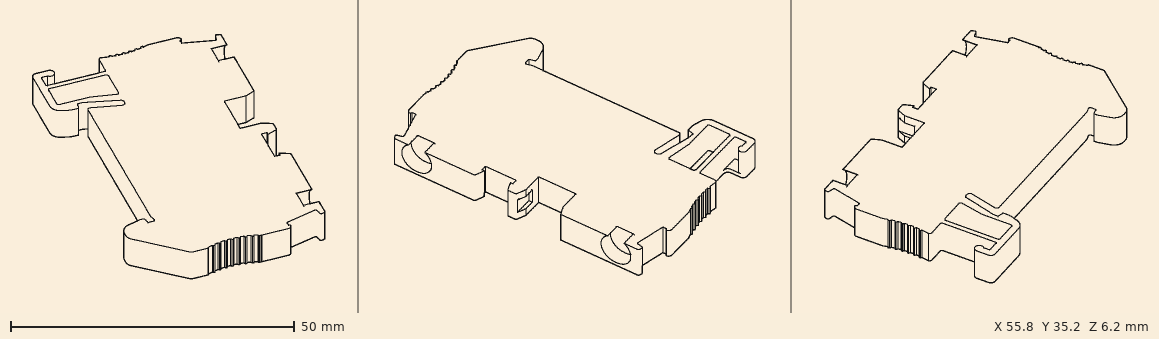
import cadquery as cq
import math

LENGTH = 55.8
HEIGHT = 35.2
THICKNESS = 6.2
SMALL_ROUND = 0.35

RAIL_FACE_Y = 5.95
LEDGE_Y = 12.65
SLOT_TOP_Y = 12.7
SHOULDER_Y = 27.9
SHOULDER_BUMP = 0.35

DEEP_NOTCH_X = 19.2
DEEP_NOTCH_FLOOR = 29.3
POST_WALL_X = 27.1
POST_TIP_X = 27.95
BARB_Y = 33.3
BARB_OVERHANG = 0.5
BARB_NOTCH_LEFT = 29.9
BARB_NOTCH_RIGHT = 36.45
BARB_NOTCH_FLOOR = 32.25

FIXED_CATCH_TIP_X = 44.25
FIXED_CATCH_X = 45.5
SPRING_CATCH_X = 10.7

FOOT_LEFT = 0.35
FOOT_RIGHT = 11.95
FOOT_FLOOR = 1.4
POST_LEFT = 4.15
POST_RIGHT = 5.1
WINDOW_RIGHT = 9.75
HOOK_TIP_RADIUS = 0.85
HOOK_TIP_Y = 3.25
HOOK_INNER_X = 1.75
HOOK_WEB_THICKNESS = 0.9
WEB_FILLET = 0.95

LEFT_SCOOP_RADIUS = 17.85
LEFT_SCOOP_DEPTH = 0.8
LEFT_SCOOP_Y = 16.95
RIGHT_SCOOP_RADIUS = 14.5
RIGHT_SCOOP_DEPTH = 1.0
RIGHT_SCOOP_Y = 17.25
SCOOP_BOTTOM_Y = 12.45
RIB_TOP_Y = 22.2
RIB_PITCH = 1.2
RIB_BASE_WIDTH = 0.6
RIB_TIP_WIDTH = 0.2
RIB_HEIGHT = 0.3
RIB_ROOT = 0.3
LEFT_RIBS = range(1, 7)
RIGHT_RIBS = range(0, 8)

ENTRY_X = (6.75, LENGTH - 6.75)
ENTRY_DEPTH = 2.95
ENTRY_RADIUS = 2.95
ENTRY_FLAT = 0.4
ENTRY_OPENING = 3.45

RECESS_LENGTH = 3.9
RECESS_DEPTH = 0.7
RECESS_BOTTOM = 1.6
RECESS_HEIGHT = 2.95


def rounded_outline(corners):
    """Closed wire through (x, y, radius) corners; a radius above zero rounds that corner."""
    wire = None
    for index, (x, y, radius) in enumerate(corners):
        corner = cq.Vector(x, y)
        before = cq.Vector(*corners[index - 1][:2])
        after = cq.Vector(*corners[(index + 1) % len(corners)][:2])
        to_before = (before - corner).normalized()
        to_after = (after - corner).normalized()
        half_angle = to_before.getAngle(to_after) / 2
        setback = radius / math.tan(half_angle)
        start = corner + to_before * setback
        wire = wire.lineTo(start.x, start.y) if wire else cq.Workplane().moveTo(start.x, start.y)
        if radius > 0:
            bisector = (to_before + to_after).normalized()
            middle = corner + bisector * (radius / math.sin(half_angle) - radius)
            end = corner + to_after * setback
            wire = wire.threePointArc((middle.x, middle.y), (end.x, end.y))
    return wire.close()


def end_hook():
    """Corners of the latch hook and shoulder at the upper left, from the shoulder up to the top."""
    return [
        (0, SHOULDER_Y + SHOULDER_BUMP, 0.7),
        (0.8, SHOULDER_Y + SHOULDER_BUMP, 0),
        (0.9, SHOULDER_Y, 0),
        (1.7, SHOULDER_Y, 0),
        (3.1, 33.9, 0.3),
        (1.6, 34.25, 0.3),
        (1.95, HEIGHT, 0.3),
    ]


def mirrored(corners):
    return [(LENGTH - x, y, radius) for x, y, radius in reversed(corners)]


top_notches = [
    (18.45, HEIGHT, 0),
    (DEEP_NOTCH_X, 33.4, 0),
    (DEEP_NOTCH_X, DEEP_NOTCH_FLOOR, 0),
    (POST_WALL_X, DEEP_NOTCH_FLOOR, 0),
    (POST_WALL_X, BARB_Y, 0),
    (POST_TIP_X, HEIGHT, 0.35),
    (29.75, HEIGHT, 0.35),
    (BARB_NOTCH_LEFT + BARB_OVERHANG, BARB_Y, 0),
    (BARB_NOTCH_LEFT, BARB_Y, 0),
    (BARB_NOTCH_LEFT, BARB_NOTCH_FLOOR, 0),
    (BARB_NOTCH_RIGHT, BARB_NOTCH_FLOOR, 0),
    (BARB_NOTCH_RIGHT, BARB_Y, 0),
    (BARB_NOTCH_RIGHT - BARB_OVERHANG, BARB_Y, 0),
    (36.7, HEIGHT, 0.45),
]
fixed_foot = [
    (LENGTH, 9.2, 0.5),
    (48.15, 0, 1.7),
    (45.2, 0, 2.0),
    (FIXED_CATCH_TIP_X, 3.9, 0.3),
    (FIXED_CATCH_TIP_X, 4.7, 0.15),
    (FIXED_CATCH_X, 4.95, 0),
    (FIXED_CATCH_X, 6.35, 0.35),
    (44.1, RAIL_FACE_Y, 0),
]
spring_foot = [
    (12.4, RAIL_FACE_Y, 0.45),
    (14.05, SLOT_TOP_Y, 0.6),
    (12.6, SLOT_TOP_Y, 0.6),
    (SPRING_CATCH_X, 5.8, 0),
    (SPRING_CATCH_X, 4.85, 0),
    (FOOT_RIGHT, 4.6, 0.1),
    (FOOT_RIGHT, 3.1, 4.45),
    (10.95, 0, 1.95),
    (FOOT_LEFT, 0, 0.9),
    (FOOT_LEFT, HOOK_TIP_Y, 0),
    (HOOK_INNER_X, HOOK_TIP_Y, 0),
    (HOOK_INNER_X, FOOT_FLOOR, 0.1),
    (POST_LEFT, FOOT_FLOOR, 0.1),
    (POST_LEFT, LEDGE_Y, SMALL_ROUND),
    (FOOT_LEFT, LEDGE_Y, 0.55),
    (FOOT_LEFT, LEFT_SCOOP_Y, 0),
    (0, LEFT_SCOOP_Y, 0),
]
outline = end_hook() + top_notches + mirrored(end_hook()) + fixed_foot + spring_foot
body = rounded_outline(outline).extrude(THICKNESS)

window = [
    (POST_RIGHT, FOOT_FLOOR, 0.3),
    (WINDOW_RIGHT, FOOT_FLOOR, 0.3),
    (WINDOW_RIGHT, 7.55, 0),
    (10.8, LEDGE_Y, SMALL_ROUND),
    (POST_RIGHT, LEDGE_Y, 0.5),
]
body = body.cut(rounded_outline(window).extrude(THICKNESS))

hook_tip_x = FOOT_LEFT + HOOK_TIP_RADIUS
hook_tip = cq.Workplane().center(hook_tip_x, HOOK_TIP_Y).circle(HOOK_TIP_RADIUS).extrude(THICKNESS)
web_top = HOOK_TIP_Y + HOOK_TIP_RADIUS
web = (
    cq.Workplane()
    .moveTo(hook_tip_x, FOOT_FLOOR)
    .lineTo(POST_LEFT, FOOT_FLOOR)
    .lineTo(POST_LEFT, web_top + WEB_FILLET)
    .radiusArc((POST_LEFT - WEB_FILLET, web_top), WEB_FILLET)
    .lineTo(hook_tip_x, web_top)
    .close()
    .extrude(HOOK_WEB_THICKNESS)
)
body = body.union(hook_tip).union(web)


def add_grip(part, end_x, inward, radius, depth, center_y, rib_numbers):
    """Scoop the end at end_x and set ribs in the scoop; inward is the X direction into the part."""
    center_x = end_x + inward * (depth - radius)
    scoop = cq.Workplane().center(center_x, center_y).circle(radius).extrude(THICKNESS)
    above_step = cq.Workplane().box(2 * radius, 2 * radius, THICKNESS, centered=(True, False, False))
    part = part.cut(scoop.intersect(above_step.translate((center_x, SCOOP_BOTTOM_Y, 0))))
    for number in rib_numbers:
        rib_y = RIB_TOP_Y - number * RIB_PITCH
        scoop_depth = depth - radius + math.sqrt(radius**2 - (rib_y - center_y) ** 2)
        scoop_x = end_x + inward * scoop_depth
        tip_x = end_x + inward * max(scoop_depth - RIB_HEIGHT, 0)
        root_x = scoop_x + inward * RIB_ROOT
        rib = [
            (root_x, rib_y - RIB_BASE_WIDTH / 2, 0),
            (scoop_x, rib_y - RIB_BASE_WIDTH / 2, 0),
            (tip_x, rib_y - RIB_TIP_WIDTH / 2, 0),
            (tip_x, rib_y + RIB_TIP_WIDTH / 2, 0),
            (scoop_x, rib_y + RIB_BASE_WIDTH / 2, 0),
            (root_x, rib_y + RIB_BASE_WIDTH / 2, 0),
        ]
        part = part.union(rounded_outline(rib).extrude(THICKNESS))
    return part


body = add_grip(body, 0, 1, LEFT_SCOOP_RADIUS, LEFT_SCOOP_DEPTH, LEFT_SCOOP_Y, LEFT_RIBS)
body = add_grip(body, LENGTH, -1, RIGHT_SCOOP_RADIUS, RIGHT_SCOOP_DEPTH, RIGHT_SCOOP_Y, RIGHT_RIBS)

half_chord = (ENTRY_OPENING - ENTRY_FLAT) / 2
entry_z = THICKNESS - math.sqrt(ENTRY_RADIUS**2 - half_chord**2)
entry_plane = cq.Workplane("XZ", origin=(0, HEIGHT, 0))
for entry_x in ENTRY_X:
    entry = entry_plane.center(entry_x, entry_z).slot2D(2 * ENTRY_RADIUS + ENTRY_FLAT, 2 * ENTRY_RADIUS)
    body = body.cut(entry.extrude(ENTRY_DEPTH))

recess = cq.Workplane().box(RECESS_DEPTH, RECESS_LENGTH, RECESS_HEIGHT, centered=False)
result = body.cut(recess.translate((POST_WALL_X, HEIGHT - RECESS_LENGTH, RECESS_BOTTOM)))